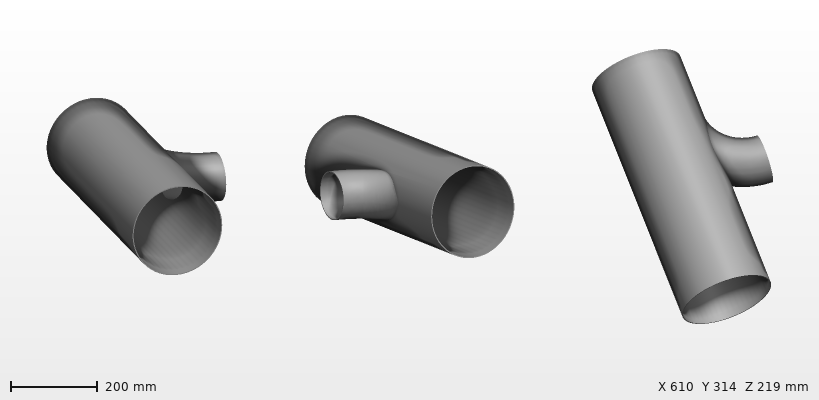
import cadquery as cq

pipe_length = 610.0
pipe_diameter = 219.0
wall = 2.5

branch_diameter = 114.0
bend_radius = 152.5
bend_angle = 90.0
branch_height = 95.0

branch_end_y = pipe_diameter / 2 + branch_height


def pipe_cylinder(diameter):
    """Solid cylinder over the full length of the main pipe."""
    return (
        cq.Workplane("YZ")
        .workplane(offset=-pipe_length / 2)
        .circle(diameter / 2)
        .extrude(pipe_length)
    )


def elbow(diameter):
    """Solid bend from the branch end at mid-length, curving down towards -X into the pipe."""
    return (
        cq.Workplane("XZ", origin=(0, branch_end_y, 0))
        .circle(diameter / 2)
        .revolve(bend_angle, (-bend_radius, 6, 0), (-bend_radius, 0, 0))
    )


outer_body = pipe_cylinder(pipe_diameter).union(elbow(branch_diameter))

result = (
    outer_body
    .cut(pipe_cylinder(pipe_diameter - 2 * wall))
    .cut(elbow(branch_diameter - 2 * wall))
)